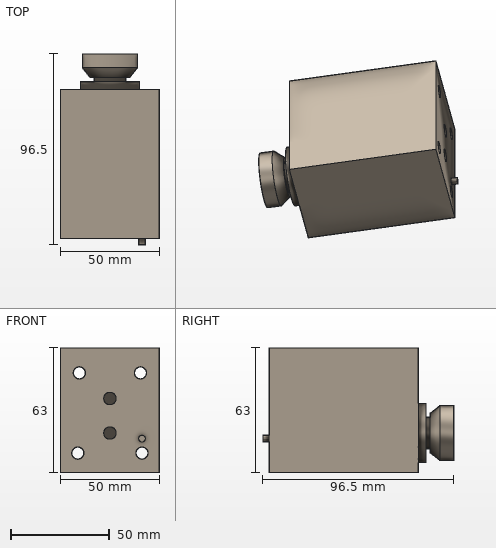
import cadquery as cq

width = 50.0
block_length = 75.5
height = 63.0
front_y = 0.0
back_y = front_y + block_length

mount_hole_dia = 6.0
upper_half_spacing = 15.4
upper_z = 18.9
lower_half_spacing = 16.2
lower_z = -21.6

port_dia = 6.3
port_depth = 12.5
upper_port_z = 6.0
knob_axis_z = -11.5

pin_dia = 3.4
pin_length = 3.1
pin_z = -14.3

overall_length = 96.5
flange_dia = 30.0
flange_length = 4.0
neck_dia = 16.0
neck_length = 2.0
cone_small_dia = 20.1
cone_length = 5.0
knob_dia = 28.0
rim_length = (overall_length - pin_length - block_length
              - flange_length - neck_length - cone_length)


def cylinder(x, z, start_y, diameter, length):
    """Cylinder along +Y starting at start_y."""
    return cq.Workplane(
        cq.Solid.makeCylinder(diameter / 2, length, cq.Vector(x, start_y, z), cq.Vector(0, 1, 0))
    )


def make_knob():
    """Flange, neck, tapered shoulder and rim turned about the knob axis."""
    flange_end = back_y + flange_length
    neck_end = flange_end + neck_length
    cone_end = neck_end + cone_length
    rim_end = cone_end + rim_length
    profile = [
        (0, back_y),
        (flange_dia / 2, back_y),
        (flange_dia / 2, flange_end),
        (neck_dia / 2, flange_end),
        (neck_dia / 2, neck_end),
        (cone_small_dia / 2, neck_end),
        (knob_dia / 2, cone_end),
        (knob_dia / 2, rim_end),
        (0, rim_end),
    ]
    turned = cq.Workplane("XY").polyline(profile).close().revolve(360, (0, 0), (0, 1))
    return turned.translate((0, 0, knob_axis_z))


block = cq.Workplane("XY").box(width, block_length, height, centered=(True, False, True))

for half_spacing, z in ((upper_half_spacing, upper_z), (lower_half_spacing, lower_z)):
    for side in (-1, 1):
        block = block.cut(cylinder(side * half_spacing, z, front_y, mount_hole_dia, block_length))

for z in (upper_port_z, knob_axis_z):
    block = block.cut(cylinder(0, z, front_y, port_dia, port_depth))

pin = cylinder(lower_half_spacing, pin_z, front_y - pin_length, pin_dia, pin_length)

result = block.union(pin).union(make_knob())